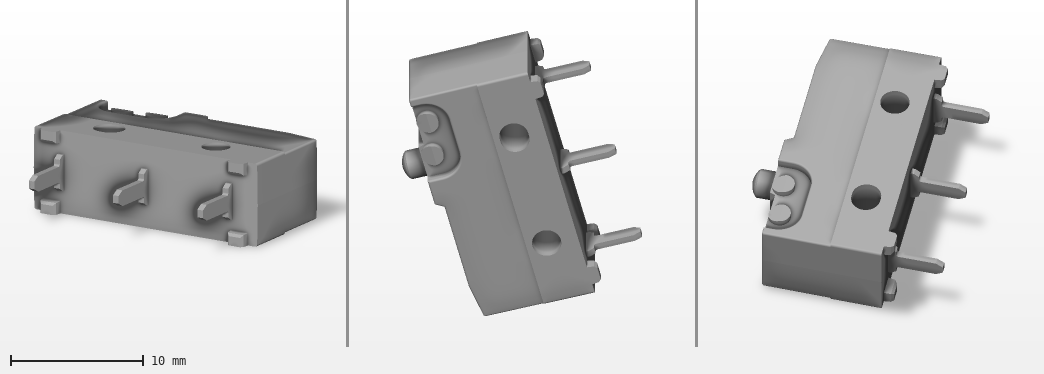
import cadquery as cq
import math


length = 19.9
overall_depth = 15.88
thickness = 6.5
thick_half = thickness / 2
end_draft = 1.0
thick_edge_radius = 0.2

base_height = 0.65
step_y = 3.96
upper_half = 3.12
upper_edge_radius = 0.15
corner_radius = 0.18
top_half_length = 9.9
left_y = 9.27
plateau_y = 9.71
right_y = 9.05
right_end_y = 8.6
plateau_left_foot = -5.41
plateau_left_top = -5.25
plateau_right_top = -0.54
plateau_right_foot = -0.14
slope_start = 7.06

mount_hole_diameter = 2.2
mount_x = 4.74
mount_y = 2.39
slot_travel = 0.28

pocket_left = -9.15
pocket_right = -2.63
pocket_bottom = 6.75
pocket_radius = 1.8
pocket_floor = 2.39
peg_diameter = 1.7
peg_height = 0.5
peg_centres = [(-7.38, 8.45), (-4.55, 8.82)]
peg_flat_offset = 0.1
peg_slope = 17.0

foot_length = 0.74
foot_inner_x = 7.56
foot_outer_x = 9.1
foot_inner_z = 2.27
foot_draft = 0.05
foot_chamfer = 0.2

plunger_x = -2.67
plunger_radius = 2.2 / 2
dome_radius = 1.95 / 2
plunger_shoulder_y = 11.15
dome_start_y = 11.3
plunger_tip_y = 11.65

terminal_pitch = 7.48
terminal_width = 0.5
terminal_tip_y = plunger_tip_y - overall_depth
root_half = 1.41
root_straight = 0.24
shoulder_half = 1.13
shoulder_depth = 0.64
blade_half = 0.62
blade_fillet = 0.18
tip_half = 0.3
tip_taper = 0.54


def end_outline(y, end_x, half):
    """Hexagon in the XZ plane whose two ends narrow away from Z = 0."""
    edge_x = end_x - half * math.tan(math.radians(end_draft))
    points = [
        (-edge_x, -half), (edge_x, -half), (end_x, 0),
        (edge_x, half), (-edge_x, half), (-end_x, 0),
    ]
    return cq.Wire.makePolygon([cq.Vector(x, y, z) for x, z in points], close=True)


def shell_block(half):
    """Housing envelope of the given half thickness, ends leaning in towards the top."""
    bottom = end_outline(base_height, length / 2, half)
    top = end_outline(plateau_y, top_half_length, half)
    return cq.Workplane(cq.Solid.makeLoft([bottom, top], ruled=True))


def round_long_edges(block):
    """Round the four end edges that run along the thick lower part."""
    return block.faces(">Z or <Z").edges("not(|X)").fillet(thick_edge_radius)


def housing_lower():
    """Thick part of the housing, between the base plate and the step."""
    band = cq.Workplane("XZ", origin=(0, base_height, 0)).rect(2 * length, thickness)
    return round_long_edges(shell_block(thick_half).intersect(band.extrude(base_height - step_y)))


def housing_upper():
    """Thinner part of the housing with its stepped top and the two pockets."""
    half_length = length / 2
    profile = (
        cq.Workplane("XY", origin=(0, 0, -upper_half))
        .polyline([
            (-half_length, 0), (half_length, 0),
            (half_length, right_end_y), (slope_start, right_y),
            (plateau_right_foot, right_y), (plateau_right_top, plateau_y),
            (plateau_left_top, plateau_y), (plateau_left_foot, left_y),
            (-half_length, left_y),
        ])
        .close()
        .extrude(2 * upper_half)
    )
    block = profile.intersect(shell_block(upper_half))
    for end_x, corner_y in ((-top_half_length, left_y), (top_half_length, right_end_y)):
        corner = cq.selectors.BoxSelector(
            (end_x - corner_radius, corner_y - corner_radius, -thick_half),
            (end_x + corner_radius, corner_y + corner_radius, thick_half),
        )
        block = block.edges(corner).edges("not(#Z)").fillet(corner_radius)
    pocket = pocket_cutter()
    block = block.cut(pocket).cut(pocket.mirror("XY"))
    return block.faces(">Z or <Z").edges("not(<Y)").fillet(upper_edge_radius)


def pocket_cutter():
    """Round-cornered pocket, open at the top, cut down to the floor."""
    top_y = plateau_y + pocket_radius
    return (
        cq.Workplane("XY", origin=(0, 0, pocket_floor))
        .moveTo((pocket_left + pocket_right) / 2, (pocket_bottom + top_y) / 2)
        .rect(pocket_right - pocket_left, top_y - pocket_bottom)
        .extrude(thick_half)
        .edges("|Z and <Y")
        .fillet(pocket_radius)
    )


def peg(centre_x, centre_y):
    """Round peg on the pocket floor; its outer half slopes down like a roof."""
    radius = peg_diameter / 2
    ridge_y = centre_y - peg_flat_offset
    top_z = pocket_floor + peg_height
    fall = peg_diameter * math.tan(math.radians(peg_slope))
    far_y = ridge_y + peg_diameter
    cylinder = (
        cq.Workplane("XY", origin=(centre_x, centre_y, pocket_floor))
        .circle(radius)
        .extrude(peg_height)
    )
    wedge = (
        cq.Workplane("YZ", origin=(centre_x - radius, 0, 0))
        .polyline([(ridge_y, top_z), (far_y, top_z), (far_y, top_z - fall)])
        .close()
        .extrude(peg_diameter)
    )
    return cylinder.cut(wedge)


def mount_holes():
    """Round hole on the right and a slightly elongated one on the left."""
    plane = cq.Workplane("XY", origin=(0, mount_y, -thick_half))
    round_hole = plane.center(mount_x, 0).circle(mount_hole_diameter / 2).extrude(thickness)
    slot = (
        plane.center(-mount_x, 0)
        .slot2D(mount_hole_diameter + slot_travel, mount_hole_diameter)
        .extrude(thickness)
    )
    return round_hole.union(slot)


def make_housing():
    body = housing_upper().union(housing_lower()).cut(mount_holes())
    for centre_x, centre_y in peg_centres:
        one_peg = peg(centre_x, centre_y)
        body = body.union(one_peg).union(one_peg.mirror("XY"))
    return body


def make_foot():
    """Foot at the +X, +Z corner: flush outer face, three sloped sides."""
    taper_end = foot_chamfer - foot_length
    tip_inset = foot_draft + foot_chamfer
    side_profile = (
        cq.Workplane("XY")
        .polyline([
            (foot_inner_x, 0),
            (foot_inner_x + foot_draft, taper_end),
            (foot_inner_x + tip_inset, -foot_length),
            (foot_outer_x - tip_inset, -foot_length),
            (foot_outer_x - foot_draft, taper_end),
            (foot_outer_x, 0),
        ])
        .close()
        .extrude(thick_half)
    )
    end_profile = (
        cq.Workplane("YZ")
        .polyline([
            (0, foot_inner_z),
            (taper_end, foot_inner_z + foot_draft),
            (-foot_length, foot_inner_z + tip_inset),
            (-foot_length, thick_half),
            (0, thick_half),
        ])
        .close()
        .extrude(length / 2)
    )
    return side_profile.intersect(end_profile)


def make_base():
    outline = end_outline(0, length / 2, thick_half)
    plate = cq.Solid.extrudeLinear(outline, [], cq.Vector(0, base_height, 0))
    base = round_long_edges(cq.Workplane(plate))
    foot = make_foot()
    for upper_foot in (foot, foot.mirror("YZ")):
        base = base.union(upper_foot).union(upper_foot.mirror("XY"))
    return base


def make_plunger():
    """Round plunger standing on the plateau, with a bevelled shoulder and a dome."""
    rise = plunger_tip_y - dome_start_y
    sphere_radius = (dome_radius**2 + rise**2) / (2 * rise)
    mid_x = dome_radius / 2
    mid_y = plunger_tip_y - sphere_radius + math.sqrt(sphere_radius**2 - mid_x**2)
    return (
        cq.Workplane("XY", origin=(plunger_x, 0, 0))
        .moveTo(0, plateau_y)
        .lineTo(plunger_radius, plateau_y)
        .lineTo(plunger_radius, plunger_shoulder_y)
        .lineTo(dome_radius, dome_start_y)
        .threePointArc((mid_x, mid_y), (0, plunger_tip_y))
        .close()
        .revolve(360, (0, 0, 0), (0, 1, 0))
    )


def make_terminal(centre_x):
    """Flat blade with a wide root and a tapered tip, standing off the base."""
    upper_side = [
        (0, root_half),
        (-root_straight, root_half),
        (-shoulder_depth, shoulder_half),
        (-shoulder_depth, blade_half),
        (terminal_tip_y + tip_taper, blade_half),
        (terminal_tip_y, tip_half),
    ]
    lower_side = [(y, -z) for y, z in reversed(upper_side)]
    blade = (
        cq.Workplane("YZ", origin=(centre_x - terminal_width / 2, 0, 0))
        .polyline(upper_side + lower_side)
        .close()
        .extrude(terminal_width)
    )
    reach = blade_half + blade_fillet
    inside_corners = cq.selectors.BoxSelector(
        (centre_x - terminal_width, -shoulder_depth - blade_fillet, -reach),
        (centre_x + terminal_width, -shoulder_depth + blade_fillet, reach),
    )
    return blade.edges(inside_corners).fillet(blade_fillet)


housing = make_housing()
base_plate = make_base()
plunger = make_plunger()
terminals = [make_terminal(index * terminal_pitch) for index in (-1, 0, 1)]

result = cq.Compound.makeCompound([
    housing.val(),
    base_plate.val(),
    plunger.val(),
    *[terminal.val() for terminal in terminals],
])